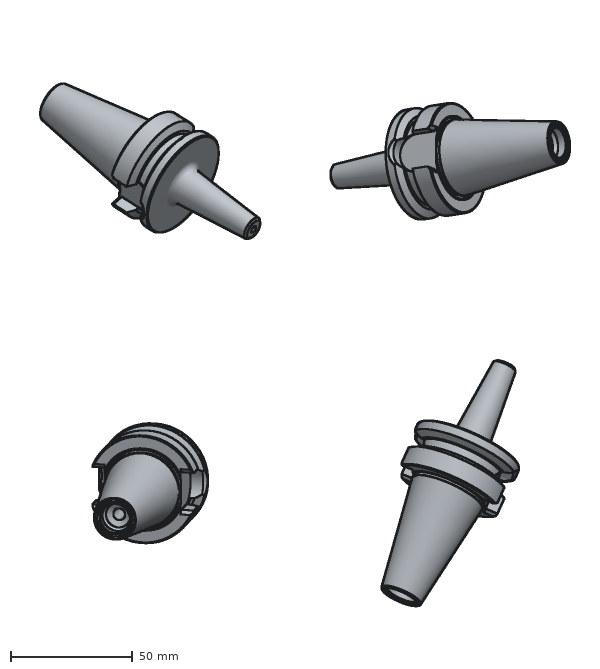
import cadquery as cq
import math

length = 108.4
shank_length = 48.5
shank_small_radius = 8.9
shank_large_radius = 15.9
edge_chamfer = 0.4

flange_start = 49.3
flange_end = 70.4
flange_radius = 23.0
groove_start = 57.9
groove_end = 66.1
groove_side_width = 2.1
groove_side_depth = 3.4
groove_floor_radius = 18.2

recess_radius = 17.6
recess_depth = 0.5
recess_chamfer = 0.8
neck_radius = 15.6

nose_root_radius = 7.9
nose_tip_radius = 5.1
nose_fillet = 2.8
nose_tip_chamfer = 0.9

slot_half_width = 8.0
slot_floor = 16.2
slot_arc_center = 59.2
slot_mouth_half_width = 9.6
slot_mouth_length = 1.4
slot_rim_start = 21.5

mouth_radius = 7.5
mouth_length = 0.4
entry_lip_radius = 6.6
entry_lip_length = 0.4
entry_radius = 6.3
entry_length = 4.5
step_radius = 6.1
step_length = 0.3
countersink_length = 1.5
seat_radius = 5.2
drill_tip_angle = 118.0
pilot_radius = 2.5
pilot_end = 65.0
through_radius = 1.5


def revolve_about_x(profile):
    """Revolve a closed half profile in the XY plane around the X axis."""
    return profile.close().revolve(360, (0, 0, 0), (1, 0, 0))


def make_body():
    groove_shoulder = flange_radius - groove_side_depth
    return revolve_about_x(
        cq.Workplane("XY")
        .moveTo(0, 0)
        .lineTo(0, shank_small_radius - edge_chamfer)
        .lineTo(edge_chamfer, shank_small_radius)
        .lineTo(shank_length, shank_large_radius)
        .lineTo(shank_length, neck_radius)
        .lineTo(flange_start + recess_depth, neck_radius)
        .lineTo(flange_start + recess_depth, recess_radius - recess_chamfer)
        .lineTo(flange_start, recess_radius)
        .lineTo(flange_start, flange_radius - edge_chamfer)
        .lineTo(flange_start + edge_chamfer, flange_radius)
        .lineTo(groove_start, flange_radius)
        .lineTo(groove_start + groove_side_width, groove_shoulder)
        .lineTo(groove_start + groove_side_width, groove_floor_radius)
        .lineTo(groove_end - groove_side_width, groove_floor_radius)
        .lineTo(groove_end - groove_side_width, groove_shoulder)
        .lineTo(groove_end, flange_radius)
        .lineTo(flange_end - edge_chamfer, flange_radius)
        .lineTo(flange_end, flange_radius - edge_chamfer)
        .lineTo(flange_end, nose_root_radius + nose_fillet)
        .radiusArc((flange_end + nose_fillet, nose_root_radius), -nose_fillet)
        .lineTo(length - nose_tip_chamfer, nose_tip_radius)
        .lineTo(length, nose_tip_radius - nose_tip_chamfer)
        .lineTo(length, 0)
    )


def make_bore():
    lip_end = mouth_length + entry_lip_length
    countersink_start = entry_length + step_length
    countersink_end = countersink_start + countersink_length
    tip_length = (seat_radius - pilot_radius) / math.tan(math.radians(drill_tip_angle / 2))
    return revolve_about_x(
        cq.Workplane("XY")
        .moveTo(0, 0)
        .lineTo(0, mouth_radius)
        .lineTo(mouth_length, entry_lip_radius)
        .lineTo(lip_end, entry_radius)
        .lineTo(entry_length, entry_radius)
        .lineTo(countersink_start, step_radius)
        .lineTo(countersink_end, seat_radius)
        .lineTo(countersink_end + tip_length, pilot_radius)
        .lineTo(pilot_end, pilot_radius)
        .lineTo(pilot_end, through_radius)
        .lineTo(length, through_radius)
        .lineTo(length, 0)
    )


def make_slot():
    """Round-ended slot on the -Y side, flared at its mouth and around its outer rim."""
    depth = flange_radius - slot_floor
    mouth_end = flange_start + slot_mouth_length
    slot = (
        cq.Workplane("XZ", origin=(0, -slot_floor, 0))
        .moveTo(flange_start, -slot_mouth_half_width)
        .lineTo(mouth_end, -slot_half_width)
        .lineTo(slot_arc_center, -slot_half_width)
        .threePointArc((slot_arc_center + slot_half_width, 0), (slot_arc_center, slot_half_width))
        .lineTo(mouth_end, slot_half_width)
        .lineTo(flange_start, slot_mouth_half_width)
        .close()
        .extrude(depth)
    )
    rim_depth = flange_radius - slot_rim_start
    rim = cq.Workplane(cq.Solid.makeCone(
        slot_half_width, slot_half_width + rim_depth, rim_depth,
        pnt=cq.Vector(slot_arc_center, -slot_rim_start, 0), dir=cq.Vector(0, -1, 0),
    ))
    return slot.union(rim)


slot = make_slot()
result = make_body().cut(make_bore()).cut(slot).cut(slot.mirror("XZ"))